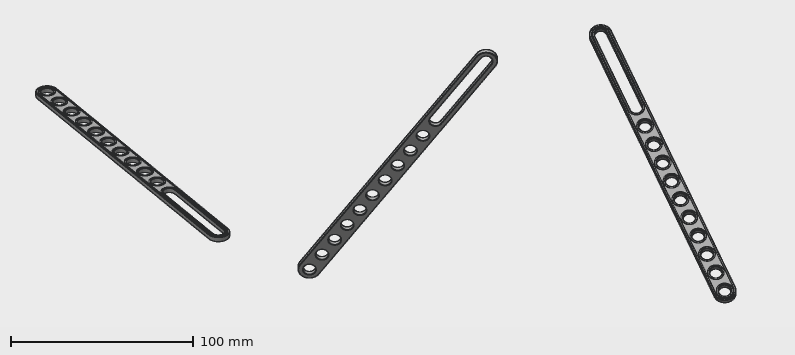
import cadquery as cq

length = 187.5
pitch_count = 15
pitch = length / pitch_count
thickness = 3.2
edge_chamfer = 0.34

hole_count = 10
hole_diameter = 7.0
slot_pitches = 4

hole_rim_diameter = 9.2
edge_rim_width = 1.1
recess_depth = 0.25

first_hole_x = (pitch - length) / 2
hole_centers = [(first_hole_x + i * pitch, 0) for i in range(hole_count)]
slot_span = slot_pitches * pitch
slot_center_x = first_hole_x + hole_count * pitch + slot_span / 2
floor_z = thickness - recess_depth


def rounded_bar(bar_length, bar_width, height, base_z=0):
    """Upright bar with full-round ends, centred on the origin in X and Y."""
    return cq.Workplane("XY").workplane(offset=base_z).slot2D(bar_length, bar_width).extrude(height)


def openings(diameter, height, base_z=0):
    """Cylinders at every hole plus the long slot, all of one width."""
    cylinders = (
        cq.Workplane("XY").workplane(offset=base_z)
        .pushPoints(hole_centers)
        .circle(diameter / 2)
        .extrude(height)
    )
    slot = rounded_bar(slot_span + diameter, diameter, height, base_z)
    return cylinders.union(slot.translate((slot_center_x, 0, 0)))


plate = rounded_bar(length, pitch, thickness).cut(openings(hole_diameter, thickness))
plate = plate.faces("|Z").edges().chamfer(edge_chamfer)

recess_length = length - 2 * edge_rim_width
recess_width = pitch - 2 * edge_rim_width
recess = rounded_bar(recess_length, recess_width, recess_depth, floor_z)
recess = recess.cut(openings(hole_rim_diameter, recess_depth, floor_z))

result = plate.cut(recess)